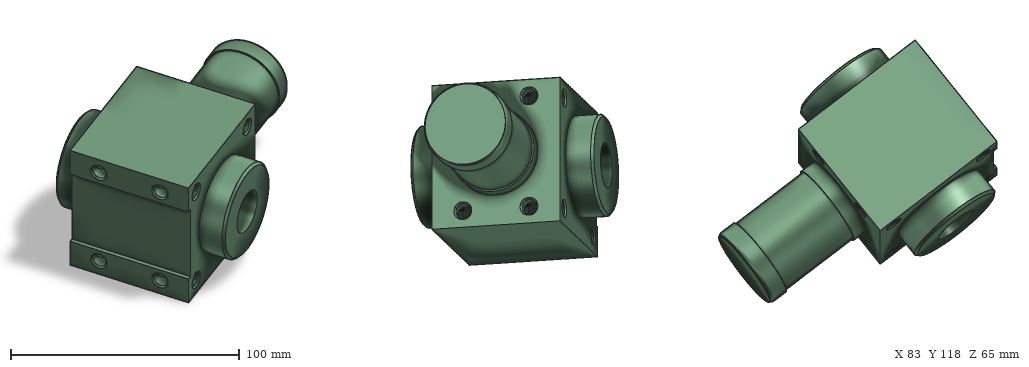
import cadquery as cq

block_width = 58.0
block_size = 65.0
overall_width = 83.0
overall_length = 118.0

boss_diameter = 45.0
boss_chamfer = 1.2
bore_diameter = 20.0

collar_diameter = 38.0
neck_diameter = 36.5
base_collar_length = 6.7
end_collar_length = 8.7
end_fillet = 2.0

recess_height = 38.0
recess_depth = 1.9

hole_diameter = 6.5
countersink_diameter = 8.0
hole_spacing = 50.0
front_hole_spacing = 30.0

neck_length = overall_length - block_size
rear_face = block_size / 2


def rear_cylinder(diameter, start, length):
    """Cylinder along +Y, starting at the given distance behind the rear face."""
    plane = cq.Plane(origin=(0, rear_face + start, 0), xDir=(1, 0, 0), normal=(0, 1, 0))
    return cq.Workplane(plane).circle(diameter / 2).extrude(length)


def countersunk_hole(center, axis, length):
    """Cutter for a through hole of the given length with a countersink at each end."""
    radius = hole_diameter / 2
    rim_radius = countersink_diameter / 2
    sink_depth = rim_radius - radius
    half = length / 2
    profile = [
        (0, -half),
        (rim_radius, -half),
        (radius, -half + sink_depth),
        (radius, half - sink_depth),
        (rim_radius, half),
        (0, half),
    ]
    vertical = cq.Vector(0, 0, 1)
    normal = cq.Vector(*axis).cross(vertical)
    plane = cq.Plane(origin=center, xDir=vertical, normal=normal)
    return cq.Workplane(plane).polyline(profile).close().revolve(360, (0, 0), (0, 1))


block = cq.Workplane("XY").box(block_width, block_size, block_size)
bosses = (
    cq.Workplane("YZ")
    .circle(boss_diameter / 2)
    .extrude(overall_width / 2, both=True)
    .edges()
    .chamfer(boss_chamfer)
)
body = block.union(bosses)

neck = rear_cylinder(neck_diameter, 0, neck_length)
base_collar = rear_cylinder(collar_diameter, 0, base_collar_length)
end_collar = rear_cylinder(collar_diameter, neck_length - end_collar_length, end_collar_length)
end_collar = end_collar.faces(">Y").edges().fillet(end_fillet)
body = body.union(neck.union(base_collar).union(end_collar))

bore = cq.Workplane("YZ").circle(bore_diameter / 2).extrude(overall_width, both=True)
recess = cq.Workplane("XY").box(block_width, 2 * recess_depth, recess_height)
body = body.cut(bore).cut(recess.translate((0, -block_size / 2, 0)))

for z_side in (-1, 1):
    hole_z = z_side * hole_spacing / 2
    for side in (-1, 1):
        side_hole = countersunk_hole((0, side * hole_spacing / 2, hole_z), (1, 0, 0), block_width)
        front_hole = countersunk_hole((side * front_hole_spacing / 2, 0, hole_z), (0, 1, 0), block_size)
        body = body.cut(side_hole).cut(front_hole)

result = body